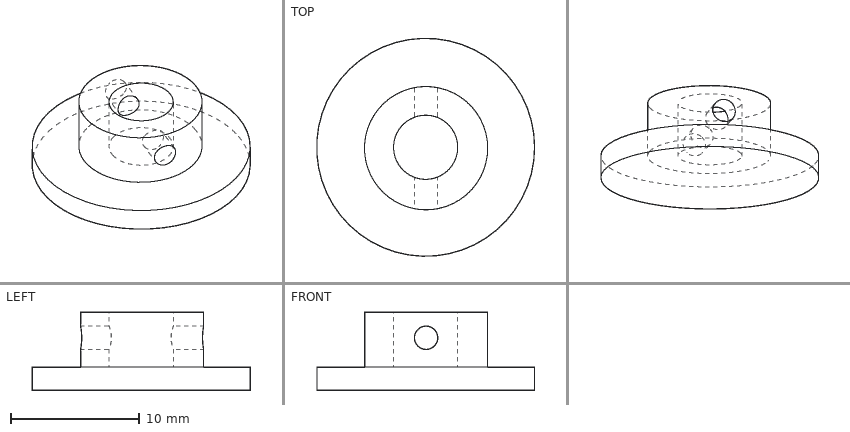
import cadquery as cq

flange_diameter = 17.0
flange_thickness = 1.8

hub_diameter = 9.6
hub_center_x = 0.03
hub_center_y = -0.07
bore_diameter = 5.0
overall_height = 6.09
hub_height = overall_height - flange_thickness

cross_hole_diameter = 1.8
cross_hole_height = 4.1


def make_flange():
    """Plain disc with its underside at Z = 0."""
    return cq.Workplane("XY").circle(flange_diameter / 2).extrude(flange_thickness)


def make_bore_cutter():
    """Cylinder on the Z axis, from the top of the disc to the top of the hub."""
    return (
        cq.Workplane("XY")
        .workplane(offset=flange_thickness)
        .circle(bore_diameter / 2)
        .extrude(hub_height)
    )


def make_cross_hole_cutter():
    """Cylinder along Y that reaches past both sides of the hub."""
    return (
        cq.Workplane("XZ")
        .center(hub_center_x, cross_hole_height)
        .circle(cross_hole_diameter / 2)
        .extrude(hub_diameter, both=True)
    )


def make_hub():
    """Bored hub resting on the disc, pierced by the cross hole."""
    blank = (
        cq.Workplane("XY")
        .workplane(offset=flange_thickness)
        .center(hub_center_x, hub_center_y)
        .circle(hub_diameter / 2)
        .extrude(hub_height)
    )
    return blank.cut(make_bore_cutter()).cut(make_cross_hole_cutter())


flange = make_flange()
hub = make_hub()

result = cq.Compound.makeCompound([flange.val(), hub.val()])